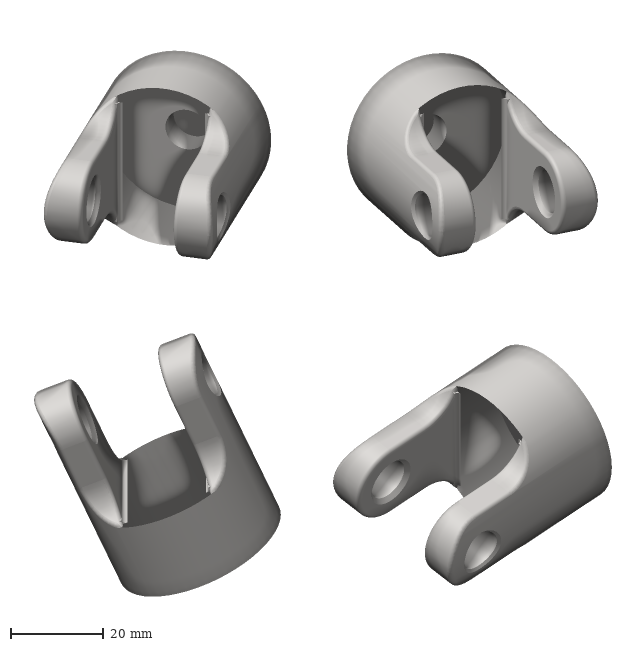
import cadquery as cq
total_length = 54.15
body_diameter = 38.1
base_length = 18.45
stud_length = 6.5
stud_diameter = 9.6
slot_width = 20.45
flare_radius = 9.7
flare_overlap = 0.25
pin_diameter = 9.6
outer_pin_chamfer = 0.65
inner_pin_chamfer = 1.0
rim_tolerance = 1.35
edge_radius = 1.0
root_half_length = 14.35

body_radius = body_diameter / 2
arm_half_width = body_radius / 2
arm_length = total_length - base_length - stud_length
pin_y = arm_half_width - arm_length
flare_start_y = flare_overlap - flare_radius
slot_wall_x = slot_width / 2


def cylinder_along_y(diameter, y_start, length):
    """Round bar on the Y axis, from y_start towards +Y."""
    plane = cq.Plane(origin=(0, y_start, 0), xDir=(1, 0, 0), normal=(0, 1, 0))
    return cq.Workplane(plane).circle(diameter / 2).extrude(length)


def flare_middle(side):
    """Middle of the concave flare arc on the +Z (1) or -Z (-1) side, as (y, z)."""
    reach = flare_radius * 0.5 ** 0.5
    return (flare_start_y + reach, side * (arm_half_width + flare_radius - reach))


def arm_prism(x_start):
    """Round-ended arm that flares into the base, extruded from x_start beyond the body."""
    flare_z = arm_half_width + flare_radius
    outer_z = body_diameter
    return (
        cq.Workplane("YZ", origin=(x_start, 0, 0))
        .moveTo(base_length, outer_z)
        .lineTo(flare_overlap, outer_z)
        .lineTo(flare_overlap, flare_z)
        .threePointArc(flare_middle(1), (flare_start_y, arm_half_width))
        .lineTo(pin_y, arm_half_width)
        .threePointArc((-arm_length, 0), (pin_y, -arm_half_width))
        .lineTo(flare_start_y, -arm_half_width)
        .threePointArc(flare_middle(-1), (flare_overlap, -flare_z))
        .lineTo(flare_overlap, -outer_z)
        .lineTo(base_length, -outer_z)
        .close()
        .extrude(body_diameter - x_start)
    )


def arm_edges():
    """Selector for every edge on the arm side of the middle of the base."""
    far = 2 * body_diameter
    return cq.selectors.BoxSelector((-far, -far, -far), (far, base_length / 2, far))


def root_fillet():
    """Concave strip between the slot floor and the +X slot wall."""
    return (
        cq.Workplane("XY", origin=(0, 0, -root_half_length))
        .moveTo(slot_wall_x + edge_radius, 0)
        .lineTo(slot_wall_x - edge_radius, 0)
        .radiusArc((slot_wall_x, -edge_radius), edge_radius)
        .lineTo(slot_wall_x + edge_radius, -edge_radius)
        .close()
        .extrude(2 * root_half_length)
    )


def make_arm():
    """The +X arm: cylindrical outside, flat inside, both rims rounded."""
    bar = cylinder_along_y(body_diameter, -arm_length, total_length)
    outside = bar.intersect(arm_prism(-body_diameter))
    outside = outside.edges(arm_edges()).edges("not |X").fillet(edge_radius)
    inside = arm_prism(slot_wall_x)
    inside = inside.faces("<X").edges(arm_edges()).fillet(edge_radius)
    root = root_fillet().intersect(arm_prism(0))
    arm = outside.intersect(inside.union(root))
    block_size = 2 * body_diameter
    block = cq.Workplane("XY").box(block_size, block_size, block_size)
    in_front_of_floor = block.translate((0, -block_size / 2, 0))
    return arm.intersect(in_front_of_floor)


def pin_rim(x_min, x_max):
    """Selector for pin hole edges centred between two X positions."""
    reach = pin_diameter / 2
    return cq.selectors.BoxSelector((x_min, pin_y - reach, -reach), (x_max, pin_y + reach, reach))


def drill_pin_hole(arm):
    """Pin hole through the +X arm, chamfered at both ends."""
    pin = cq.Workplane("YZ").center(pin_y, 0).circle(pin_diameter / 2).extrude(body_diameter)
    inner_rim = pin_rim(slot_wall_x - rim_tolerance, slot_wall_x + rim_tolerance)
    outer_rim = pin_rim(slot_wall_x + rim_tolerance, body_radius)
    drilled = arm.cut(pin).edges(inner_rim).chamfer(inner_pin_chamfer)
    return drilled.edges(outer_rim).edges("not |X").chamfer(outer_pin_chamfer)


base = cylinder_along_y(body_diameter, 0, base_length)
stud = cylinder_along_y(stud_diameter, base_length, stud_length)
arm = drill_pin_hole(make_arm())
result = base.union(arm).union(arm.mirror("YZ")).union(stud)